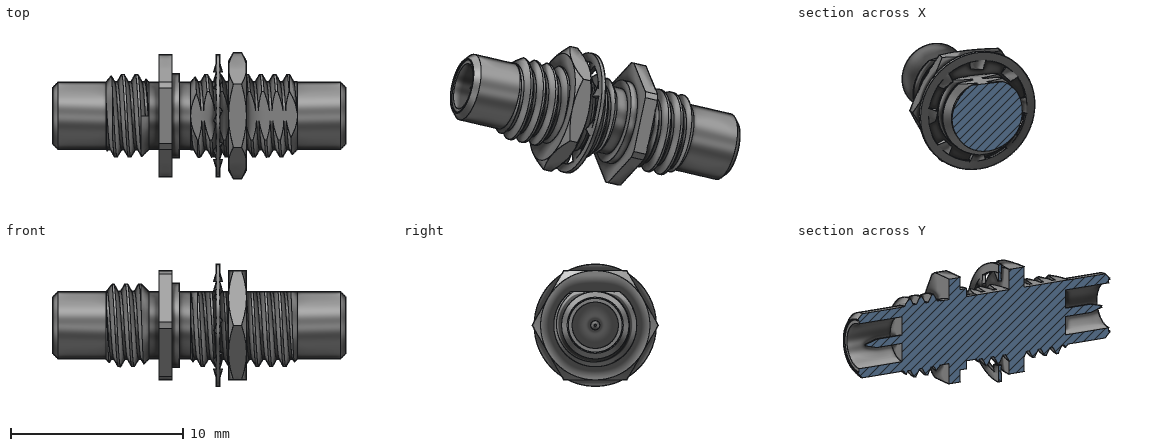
import cadquery as cq
import math


LENGTH = 17.04
BARREL_DIAMETER = 3.91
END_CHAMFER_LENGTH = 0.32
END_FACE_DIAMETER = 3.26

RECESS_DIAMETER = 3.12
RECESS_DEPTH = 0.08
BORE_DIAMETER = 2.69
BORE_DEPTH = 3.0
PIN_DIAMETER = 0.53
PIN_TIP_DIAMETER = 0.12
PIN_TIP_DEPTH = 0.55
PIN_CONE_LENGTH = 0.75

HEX_WIDTH = 6.35
FLANGE_START = 6.17
FLANGE_THICKNESS = 0.78
FLANGE_CORNER_DIAMETER = 7.11
SHOULDER_DIAMETER = 4.89
SHOULDER_LENGTH = 0.41

PITCH = 0.794
THREAD_DIAMETER = 4.82
ROOT_DIAMETER = 3.96
ROOT_FLAT = PITCH / 5
THREAD_HALF_ANGLE = 30.0
GROOVE_OVERRUN = 0.1
THREAD_START_CHAMFER = 0.39
THREAD_BAR_MARGIN = 1.5
FRONT_THREAD_START = 3.1
FRONT_THREAD_END = 5.6
FRONT_GROOVE_END = 5.47
FRONT_GROOVE_TURNS = 3.5
REAR_THREAD_START = 8.02
REAR_THREAD_END = 14.22
REAR_GROOVE_START = 7.53
REAR_GROOVE_TURNS = 9
REAR_FLAT_HEIGHT = BARREL_DIAMETER / 2

NUT_START = 10.22
NUT_THICKNESS = 1.04
NUT_CHAMFER_ANGLE = 30.0

WASHER_CENTRE = 9.61
WASHER_THICKNESS = 0.22
WASHER_DIAMETER = 7.11
WASHER_BORE_DIAMETER = 6.1
TOOTH_COUNT = 8
TOOTH_INNER_RADIUS = 2.54
TOOTH_ROOT_OVERLAP = 0.1
TOOTH_ROOT_WIDTH = 1.0
TOOTH_TIP_WIDTH = 0.75
TOOTH_TWIST = -25.0

HEX_CORNER_DIAMETER = HEX_WIDTH / math.cos(math.pi / 6)


def cylinder(diameter, start, length):
    """Round bar along X that begins at X = start."""
    return cq.Workplane("YZ", origin=(start, 0, 0)).circle(diameter / 2).extrude(length)


def hexagon(start, thickness):
    """Hexagonal plate with flats at +Z and -Z and corners at +Y and -Y."""
    return cq.Workplane("YZ", origin=(start, 0, 0)).polygon(6, HEX_CORNER_DIAMETER).extrude(thickness)


def revolved(points):
    """Solid of revolution about X from (x, radius) points."""
    return cq.Workplane("XY").polyline(points).close().revolve(360, (0, 0, 0), (1, 0, 0))


def make_barrel():
    radius = BARREL_DIAMETER / 2
    face_radius = END_FACE_DIAMETER / 2
    return revolved([
        (0, 0),
        (0, face_radius),
        (END_CHAMFER_LENGTH, radius),
        (LENGTH - END_CHAMFER_LENGTH, radius),
        (LENGTH, face_radius),
        (LENGTH, 0),
    ])


def make_groove(start, turns):
    """Right-handed V groove along X whose centre begins on the -Z side at X = start."""
    root_radius = ROOT_DIAMETER / 2
    outer_radius = THREAD_DIAMETER / 2 + GROOVE_OVERRUN
    root_half = ROOT_FLAT / 2
    outer_half = root_half + (outer_radius - root_radius) * math.tan(math.radians(THREAD_HALF_ANGLE))
    path = cq.Workplane(obj=cq.Wire.makeHelix(PITCH, turns * PITCH, root_radius))
    profile = [
        (root_radius, -root_half),
        (outer_radius, -outer_half),
        (outer_radius, outer_half),
        (root_radius, root_half),
    ]
    groove = cq.Workplane("XZ").polyline(profile).close().sweep(path, isFrenet=True)
    return groove.rotate((0, 0, 0), (0, 1, 0), 90).translate((start, 0, 0))


def make_thread(start, end, groove_start, groove_turns):
    """Threaded length with a chamfer at both ends."""
    radius = THREAD_DIAMETER / 2
    end_radius = BARREL_DIAMETER / 2
    chamfer = radius - end_radius
    envelope = revolved([
        (start, 0),
        (start, end_radius),
        (start + THREAD_START_CHAMFER, radius),
        (end - chamfer, radius),
        (end, end_radius),
        (end, 0),
    ])
    bar = cylinder(THREAD_DIAMETER, start - THREAD_BAR_MARGIN, end - start + 2 * THREAD_BAR_MARGIN)
    return bar.cut(make_groove(groove_start, groove_turns)).intersect(envelope)


def make_front_thread():
    groove_start = FRONT_GROOVE_END - FRONT_GROOVE_TURNS * PITCH
    return make_thread(FRONT_THREAD_START, FRONT_THREAD_END, groove_start, FRONT_GROOVE_TURNS)


def make_rear_thread():
    """Rear thread with a flat along its +Z side."""
    thread = make_thread(REAR_THREAD_START, REAR_THREAD_END, REAR_GROOVE_START, REAR_GROOVE_TURNS)
    length = REAR_THREAD_END - REAR_THREAD_START
    above_flat = cq.Workplane("XY").box(
        length, THREAD_DIAMETER, THREAD_DIAMETER, centered=(False, True, False)
    ).translate((REAR_THREAD_START, 0, REAR_FLAT_HEIGHT))
    return thread.cut(above_flat)


def make_flange():
    corner_limit = cylinder(FLANGE_CORNER_DIAMETER, FLANGE_START, FLANGE_THICKNESS)
    flange = hexagon(FLANGE_START, FLANGE_THICKNESS).intersect(corner_limit)
    return flange.union(cylinder(SHOULDER_DIAMETER, FLANGE_START + FLANGE_THICKNESS, SHOULDER_LENGTH))


def make_nut():
    """Hexagonal nut whose corners are chamfered by a cone on both faces."""
    end = NUT_START + NUT_THICKNESS
    face_radius = HEX_WIDTH / 2
    corner_radius = HEX_CORNER_DIAMETER / 2
    chamfer_length = (corner_radius - face_radius) * math.tan(math.radians(NUT_CHAMFER_ANGLE))
    cones = revolved([
        (NUT_START, 0),
        (NUT_START, face_radius),
        (NUT_START + chamfer_length, corner_radius),
        (end - chamfer_length, corner_radius),
        (end, face_radius),
        (end, 0),
    ])
    return hexagon(NUT_START, NUT_THICKNESS).intersect(cones)


def make_pin():
    """Pointed centre contact standing on the floor of the socket at X = 0."""
    return revolved([
        (PIN_TIP_DEPTH, 0),
        (PIN_TIP_DEPTH, PIN_TIP_DIAMETER / 2),
        (PIN_TIP_DEPTH + PIN_CONE_LENGTH, PIN_DIAMETER / 2),
        (BORE_DEPTH, PIN_DIAMETER / 2),
        (BORE_DEPTH, 0),
    ])


def make_connector():
    connector = make_barrel()
    for part in (make_front_thread(), make_rear_thread(), make_flange(), make_nut()):
        connector = connector.union(part)
    socket = cylinder(BORE_DIAMETER, 0, BORE_DEPTH)
    socket = socket.union(cylinder(RECESS_DIAMETER, 0, RECESS_DEPTH)).cut(make_pin())
    far_socket = socket.mirror("YZ").translate((LENGTH, 0, 0))
    return connector.cut(socket).cut(far_socket)


def make_tooth():
    """Twisted tooth on the +Z side of the washer, reaching inward from the ring."""
    root_radius = WASHER_BORE_DIAMETER / 2
    ring_end = cq.Workplane("XY").box(
        WASHER_THICKNESS, TOOTH_ROOT_WIDTH, TOOTH_ROOT_OVERLAP, centered=(True, True, False)
    ).translate((0, 0, root_radius))
    blade = (
        cq.Workplane("XY", origin=(0, 0, TOOTH_INNER_RADIUS))
        .transformed(rotate=(0, 0, TOOTH_TWIST))
        .rect(WASHER_THICKNESS, TOOTH_TIP_WIDTH)
        .transformed(rotate=(0, 0, -TOOTH_TWIST), offset=(0, 0, root_radius - TOOTH_INNER_RADIUS))
        .rect(WASHER_THICKNESS, TOOTH_ROOT_WIDTH)
        .loft(ruled=True)
    )
    return blade.union(ring_end)


def make_washer():
    start = WASHER_CENTRE - WASHER_THICKNESS / 2
    washer = cylinder(WASHER_DIAMETER, start, WASHER_THICKNESS)
    washer = washer.cut(cylinder(WASHER_BORE_DIAMETER, start, WASHER_THICKNESS))
    tooth = make_tooth().translate((WASHER_CENTRE, 0, 0))
    for index in range(TOOTH_COUNT):
        washer = washer.union(tooth.rotate((0, 0, 0), (1, 0, 0), index * 360 / TOOTH_COUNT))
    return washer


connector = make_connector()
lock_washer = make_washer()

result = cq.Compound.makeCompound([connector.solids().val(), lock_washer.solids().val()])